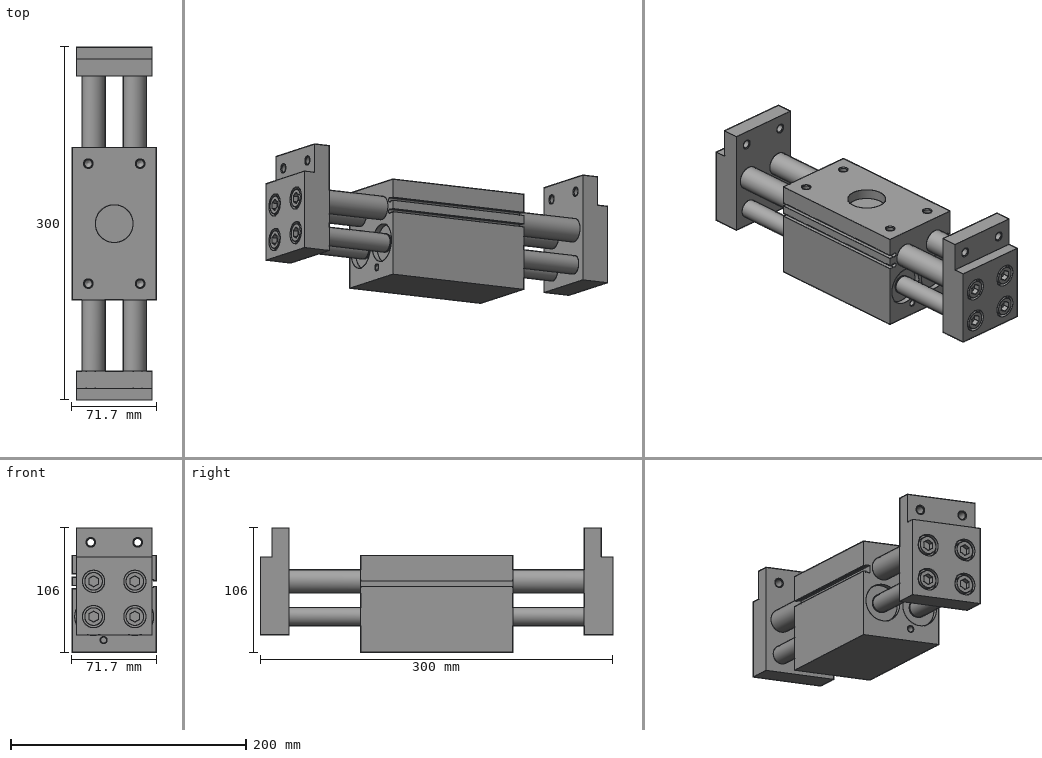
import cadquery as cq
import math

total_length = 300.0

housing_width = 71.7
housing_length = 129.5
housing_height = 82.5

mount_spacing_x = 44.0
mount_spacing_y = 102.0
mount_depth = 24.0
mount_diameter = 6.5
mount_rim_diameter = 8.0
drill_point_angle = 118

center_bore_diameter = 32.0
center_bore_depth = 8.5

gland_recess_diameter = 32.0
gland_recess_depth = 4.8
gland_bottom_wall = 14.5
neck_diameter = 15.0
neck_length = 1.2

rod_spacing = 35.0
rod_row_spacing = 30.0
guide_rod_diameter = 20.0
piston_rod_diameter = 16.0
piston_rod_z = gland_bottom_wall + gland_recess_diameter / 2
guide_rod_z = piston_rod_z + rod_row_spacing

port_diameter = 5.0
port_rim_diameter = 6.0
port_depth = 9.0
port_x = -9.0
port_z = 10.5

sensor_slot_heights = (65.5, 55.5)
sensor_slot_mouth = 2.7
sensor_slot_round = 3.5
sensor_slot_depth = 7.2

t_slot_z = 58.5
t_slot_mouth = 4.8
t_slot_lip = 2.5
t_slot_width = 6.3
t_slot_depth = 6.0

plate_width = 64.5
plate_thickness = 24.5
plate_bottom_z = 15.0
plate_step_z = 81.3
plate_step_depth = 10.0
plate_top_z = 106.0

plate_hole_diameter = 6.5
plate_hole_rim_diameter = 8.0
plate_hole_spacing = 40.0
plate_hole_z = 93.5

counterbore_diameter = 19.0
screw_head_diameter = 15.0
head_gap_depth = 4.0
socket_across_flats = 8.0
socket_depth = 5.0

housing_side_x = housing_width / 2
housing_end_y = housing_length / 2
plate_outer_y = total_length / 2
plate_inner_y = plate_outer_y - plate_thickness
plate_step_y = plate_outer_y - plate_step_depth
recess_floor_y = housing_end_y - gland_recess_depth
piston_rod_end_y = recess_floor_y + neck_length
rod_xs = (-rod_spacing / 2, rod_spacing / 2)


def cylinder_y(diameter, x, z, y_start, y_end):
    """Cylinder along Y from y_start to y_end."""
    base = cq.Workplane("XZ", origin=(x, y_start, z))
    return base.circle(diameter / 2).extrude(y_start - y_end)


def mirror_y(body):
    """Mirror image on the other side of the Y = 0 plane."""
    return body.mirror("XZ")


def slot_box(x_start, x_end, z, height):
    """Cutter for a straight slot that runs the whole length of the housing."""
    box = cq.Workplane("XY").box(x_end - x_start, housing_length, height)
    return box.translate(((x_start + x_end) / 2, 0, z))


def rim_chamfer(diameter, rim_diameter, center, inward):
    """Cutter for a 45 degree chamfer at the rim of a hole."""
    depth = (rim_diameter - diameter) / 2
    cone = cq.Solid.makeCone(rim_diameter / 2, diameter / 2, depth, cq.Vector(*center), cq.Vector(*inward))
    return cq.Workplane(cone)


def mount_hole(x, y):
    """Cutter for a chamfered blind hole with a drill point in the housing top."""
    radius = mount_diameter / 2
    point_length = radius / math.tan(math.radians(drill_point_angle / 2))
    point_base = cq.Vector(x, y, housing_height - mount_depth)
    point = cq.Solid.makeCone(radius, 0, point_length, point_base, cq.Vector(0, 0, -1))
    bore = cq.Workplane("XY", origin=(x, y, housing_height)).circle(radius).extrude(-mount_depth)
    rim = rim_chamfer(mount_diameter, mount_rim_diameter, (x, y, housing_height), (0, 0, -1))
    return bore.union(cq.Workplane(point)).union(rim)


def housing_end_cuts():
    """Gland recesses and air port of the +Y end of the housing."""
    cuts = cylinder_y(port_diameter, port_x, port_z, housing_end_y - port_depth, housing_end_y)
    rim_center = (port_x, housing_end_y, port_z)
    cuts = cuts.union(rim_chamfer(port_diameter, port_rim_diameter, rim_center, (0, -1, 0)))
    for x in rod_xs:
        cuts = cuts.union(cylinder_y(gland_recess_diameter, x, piston_rod_z, recess_floor_y, housing_end_y))
    return cuts


def sensor_slot(z):
    """Cutter for a narrow slot that ends in a round channel."""
    round_x = -housing_side_x + sensor_slot_depth - sensor_slot_round / 2
    mouth = slot_box(-housing_side_x, round_x, z, sensor_slot_mouth)
    return mouth.union(cylinder_y(sensor_slot_round, round_x, z, -housing_end_y, housing_end_y))


def t_slot():
    """Cutter for the T-slot."""
    lip_x = housing_side_x - t_slot_lip
    mouth = slot_box(lip_x, housing_side_x, t_slot_z, t_slot_mouth)
    return mouth.union(slot_box(housing_side_x - t_slot_depth, lip_x, t_slot_z, t_slot_width))


def make_housing():
    """Block with gland recesses at both ends, slots along both sides and holes in the top."""
    housing = cq.Workplane("XY").box(
        housing_width, housing_length, housing_height, centered=(True, True, False)
    )
    for x in (-mount_spacing_x / 2, mount_spacing_x / 2):
        for y in (-mount_spacing_y / 2, mount_spacing_y / 2):
            housing = housing.cut(mount_hole(x, y))

    top = cq.Workplane("XY", origin=(0, 0, housing_height))
    housing = housing.cut(top.circle(center_bore_diameter / 2).extrude(-center_bore_depth))

    rear_cuts = housing_end_cuts()
    housing = housing.cut(rear_cuts).cut(mirror_y(rear_cuts))

    for z in sensor_slot_heights:
        housing = housing.cut(sensor_slot(z))
    return housing.cut(t_slot())


def plate_hole(x):
    """Cutter for a through hole with a chamfered rim on both faces of the plate."""
    hole = cylinder_y(plate_hole_diameter, x, plate_hole_z, plate_inner_y, plate_step_y)
    for y, inward in ((plate_inner_y, 1), (plate_step_y, -1)):
        center = (x, y, plate_hole_z)
        hole = hole.union(rim_chamfer(plate_hole_diameter, plate_hole_rim_diameter, center, (0, inward, 0)))
    return hole


def screw_cuts(x, z):
    """Cutter for the gap round a screw head and for its hexagon socket."""
    gap_bottom_y = plate_outer_y - head_gap_depth
    gap = cylinder_y(counterbore_diameter, x, z, gap_bottom_y, plate_outer_y)
    gap = gap.cut(cylinder_y(screw_head_diameter, x, z, gap_bottom_y, plate_outer_y))
    outer_face = cq.Workplane("XZ", origin=(x, plate_outer_y, z))
    socket = outer_face.polygon(6, socket_across_flats, circumscribed=True).extrude(socket_depth)
    return gap.union(socket)


def make_rear_slide():
    """Stepped end plate at +Y with its four rods."""
    slide = (
        cq.Workplane("YZ")
        .moveTo(plate_inner_y, plate_bottom_z)
        .lineTo(plate_outer_y, plate_bottom_z)
        .lineTo(plate_outer_y, plate_step_z)
        .lineTo(plate_step_y, plate_step_z)
        .lineTo(plate_step_y, plate_top_z)
        .lineTo(plate_inner_y, plate_top_z)
        .close()
        .extrude(plate_width / 2, both=True)
    )
    for x in (-plate_hole_spacing / 2, plate_hole_spacing / 2):
        slide = slide.cut(plate_hole(x))
    for x in rod_xs:
        for z in (piston_rod_z, guide_rod_z):
            slide = slide.cut(screw_cuts(x, z))
        slide = slide.union(cylinder_y(guide_rod_diameter, x, guide_rod_z, housing_end_y, plate_inner_y))
        slide = slide.union(cylinder_y(piston_rod_diameter, x, piston_rod_z, piston_rod_end_y, plate_inner_y))
        slide = slide.union(cylinder_y(neck_diameter, x, piston_rod_z, recess_floor_y, piston_rod_end_y))
    return slide


housing = make_housing()
rear_slide = make_rear_slide()
front_slide = mirror_y(rear_slide)

result = cq.Compound.makeCompound([housing.val(), front_slide.val(), rear_slide.val()])